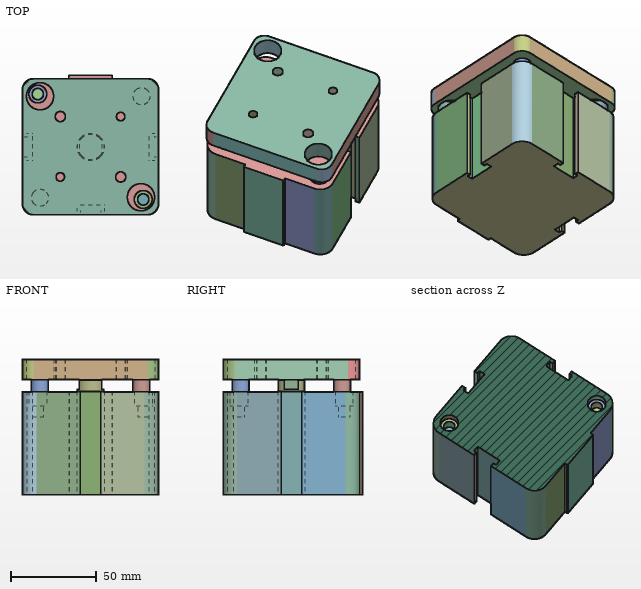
import cadquery as cq

width = 80.0
total_height = 79.5

plate_thickness = 12.0
plate_corner_radius = 6.65
access_hole_diameter = 16.0
access_hole_offset = 29.6
mount_hole_offset = 17.7
large_mount_diameter = 6.0
small_mount_diameter = 5.0

housing_height = 60.35
housing_corner_radius = 8.2

slot_mouth_width = 12.0
slot_lip_thickness = 2.55
slot_undercut = 2.0
slot_depth = 6.0

rail_width = 25.75
rail_height = 2.0
rail_edge_chamfer = 0.5

screw_offset = 30.9
screw_head_diameter = 10.5
screw_head_depth = 8.2
screw_hole_diameter = 6.65
screw_hole_depth = 14.5

guide_diameter = 10.0
guide_offset = 29.8
piston_diameter = 15.6
flat_width_across = 13.3
piston_shoulder_height = 1.7
piston_top_chamfer = 0.3
collar_diameter = 16.0
collar_height = 0.5

half_width = width / 2
plate_bottom = total_height - plate_thickness
gap = plate_bottom - housing_height
collar_chamfer = (collar_diameter - piston_diameter) / 2


def rounded_block(height, corner_radius, bottom):
    """Square block with rounded vertical edges, centred on the Z axis."""
    block = cq.Workplane("XY").box(width, width, height, centered=(True, True, False))
    return block.edges("|Z").fillet(corner_radius).translate((0, 0, bottom))


def vertical_cylinders(points, diameter, bottom, height):
    """Cylinders of one size standing on the given XY points."""
    return cq.Workplane("XY", origin=(0, 0, bottom)).pushPoints(points).circle(diameter / 2).extrude(height)


def opposite_corners(offset, y_sign):
    """Two points on one diagonal: y_sign 1 for (+,+) and (-,-), -1 for the other diagonal."""
    return [(offset, y_sign * offset), (-offset, -y_sign * offset)]


def t_slot():
    """Full-height T-slot cutter for the -Y side."""
    depth_behind_lip = slot_depth - slot_lip_thickness
    mouth = cq.Workplane("XY").box(
        slot_mouth_width, slot_depth, housing_height, centered=(True, False, False)
    )
    wide = cq.Workplane("XY").box(
        slot_mouth_width + 2 * slot_undercut, depth_behind_lip, housing_height, centered=(True, False, False)
    )
    cutter = mouth.union(wide.translate((0, slot_lip_thickness, 0)))
    return cutter.translate((0, -half_width, 0))


def rail():
    """Full-height rail on the +Y side with chamfered outer edges."""
    bar = cq.Workplane("XY").box(
        rail_width, half_width + rail_height, housing_height, centered=(True, False, False)
    )
    return bar.edges("|Z and >Y").chamfer(rail_edge_chamfer)


def make_housing():
    body = rounded_block(housing_height, housing_corner_radius, 0)
    body = body.union(rail())

    for angle in (-90, 0, 90):
        body = body.cut(t_slot().rotate((0, 0, 0), (0, 0, 1), angle))

    points = opposite_corners(screw_offset, -1)
    for diameter, depth in (
        (screw_head_diameter, screw_head_depth),
        (screw_hole_diameter, screw_hole_depth),
    ):
        body = body.cut(vertical_cylinders(points, diameter, housing_height - depth, depth))
    return body


def make_piston_rod():
    """Round rod with flats facing -X and +X above a shoulder, and a thin tapered collar at its foot."""
    center = [(0, 0)]
    rod = vertical_cylinders(center, piston_diameter, housing_height, gap)
    rod = rod.faces(">Z").chamfer(piston_top_chamfer)
    flatted_part = cq.Workplane("XY", origin=(0, 0, housing_height + piston_shoulder_height)).box(
        flat_width_across, piston_diameter, gap - piston_shoulder_height, centered=(True, True, False)
    )
    shoulder = vertical_cylinders(center, piston_diameter, housing_height, piston_shoulder_height)
    collar = vertical_cylinders(center, collar_diameter, housing_height, collar_height)
    collar = collar.faces(">Z").chamfer(collar_chamfer)
    return rod.intersect(flatted_part).union(shoulder).union(collar)


def make_carriage():
    """Plate, guide rods and piston rod that move together."""
    body = rounded_block(plate_thickness, plate_corner_radius, plate_bottom)
    for offset, diameter, y_sign in (
        (access_hole_offset, access_hole_diameter, -1),
        (mount_hole_offset, large_mount_diameter, -1),
        (mount_hole_offset, small_mount_diameter, 1),
    ):
        points = opposite_corners(offset, y_sign)
        body = body.cut(vertical_cylinders(points, diameter, plate_bottom, plate_thickness))
    guides = vertical_cylinders(opposite_corners(guide_offset, 1), guide_diameter, housing_height, gap)
    return body.union(guides).union(make_piston_rod())


housing = make_housing()
carriage = make_carriage()

result = cq.Compound.makeCompound([housing.val(), carriage.val()])